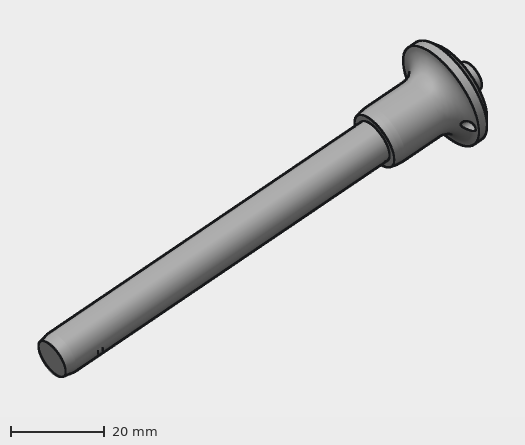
import cadquery as cq

grip_length = 90.0
tip_taper_length = 2.6
nose_taper_length = 1.4
collar_taper_length = 1.3
flange_height = 18.6
flange_rim_width = 2.25
flange_chamfer_height = 1.65
button_height = 4.8
button_fillet = 0.4

shank_radius = 10.0 / 2
tip_radius = 9.0 / 2
collar_radius = 14.0 / 2
collar_taper_radius = 13.7 / 2
nose_radius = 13.1 / 2
flange_radius = 25.0 / 2
flange_top_radius = 21.2 / 2
button_radius = 7.0 / 2

lanyard_hole_diameter = 3.0
lanyard_hole_offset = 10.0

ball_radius = 1.75
ball_protrusion = 0.15
ball_from_tip = 9.25

rim_top = flange_height + flange_rim_width
flange_top = rim_top + flange_chamfer_height
button_top = flange_top + button_height
collar_taper_end = nose_taper_length + collar_taper_length
flare_radius = flange_radius - collar_radius


def pin_body():
    """Revolve the half profile, drawn as (radius, station), about the pin axis."""
    flare_start = (collar_radius, flange_height - flare_radius)
    flare_end = (flange_radius, flange_height)
    profile = (
        cq.Workplane("XY")
        .moveTo(0, -grip_length)
        .lineTo(tip_radius, -grip_length)
        .lineTo(shank_radius, -grip_length + tip_taper_length)
        .lineTo(shank_radius, 0)
        .lineTo(nose_radius, 0)
        .lineTo(collar_taper_radius, nose_taper_length)
        .lineTo(collar_radius, collar_taper_end)
        .lineTo(*flare_start)
        .radiusArc(flare_end, flare_radius)
        .lineTo(flange_radius, rim_top)
        .lineTo(flange_top_radius, flange_top)
        .lineTo(button_radius, flange_top)
        .lineTo(button_radius, button_top - button_fillet)
        .radiusArc((button_radius - button_fillet, button_top), -button_fillet)
        .lineTo(0, button_top)
        .close()
    )
    return profile.revolve(360, (0, 0, 0), (0, 1, 0))


def lanyard_hole():
    """Cutter parallel to the pin axis, clear through the flange."""
    return (
        cq.Workplane("XZ", origin=(lanyard_hole_offset, flange_top, 0))
        .circle(lanyard_hole_diameter / 2)
        .extrude(flange_top)
    )


def locking_ball(side):
    """Ball sunk into the shank with only a shallow cap exposed; side is -1 or +1 along X."""
    ball_center = side * (shank_radius + ball_protrusion - ball_radius)
    return cq.Workplane("XY", origin=(ball_center, ball_from_tip - grip_length, 0)).sphere(ball_radius)


result = pin_body().cut(lanyard_hole())
for side in (-1, 1):
    result = result.union(locking_ball(side))